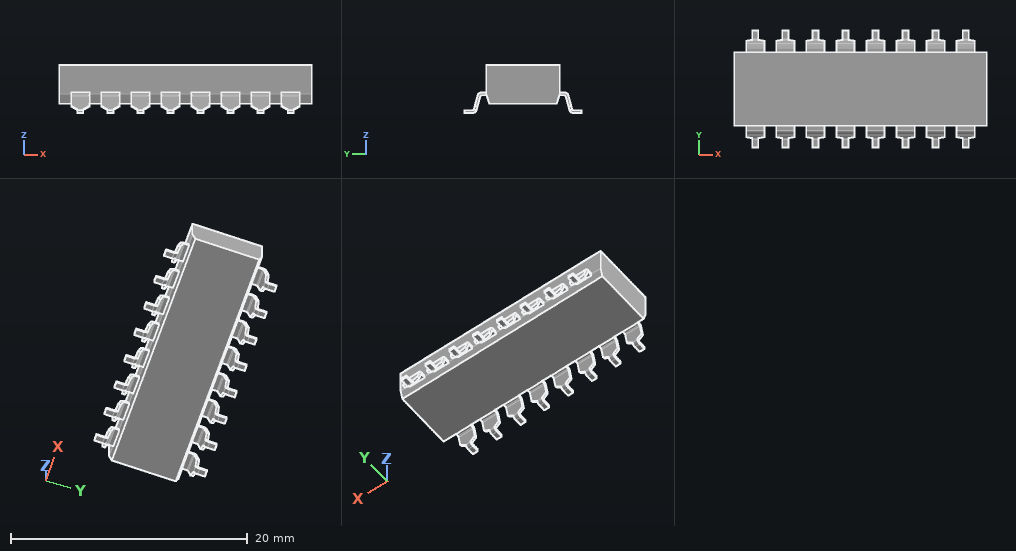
import cadquery as cq
import math

body_length = 21.32
body_width = 6.23
body_bottom_width = 5.71
body_bottom = 0.79
body_top = 4.07
taper_top = 1.65

leads_per_row = 8
lead_pitch = 2.54
lead_span = 9.9
lead_thickness = 0.25
lead_top = 1.75
lead_embed = 0.43
shoulder_reach = 0.66
leg_slant = math.radians(15.0)
shoulder_inner_radius = 0.1
foot_inner_radius = 0.1

lead_width = 1.55
foot_width = 0.53
neck_top = 0.58
neck_bottom = 0.28

def make_body():
    half_top = body_width / 2
    half_bottom = body_bottom_width / 2
    section = [
        (-half_bottom, body_bottom),
        (half_bottom, body_bottom),
        (half_top, taper_top),
        (half_top, body_top),
        (-half_top, body_top),
        (-half_top, taper_top),
    ]
    return cq.Workplane("YZ").polyline(section).close().extrude(body_length / 2, both=True)

def make_lead():
    """One lead of the +Y row, centred on X = 0."""
    shoulder_y = body_width / 2 + shoulder_reach
    outer_radius = shoulder_inner_radius + lead_thickness
    foot_radius = foot_inner_radius + lead_thickness

    leg_across = lead_thickness / math.cos(leg_slant)
    leg_drop = lead_top - lead_thickness
    foot_y = shoulder_y + leg_drop * math.tan(leg_slant)
    inner_shoulder_y = shoulder_y + lead_thickness * math.tan(leg_slant) - leg_across
    heel_y = shoulder_y + lead_top * math.tan(leg_slant) - leg_across
    shoulder_end = body_width / 2 - lead_embed
    section = [
        (shoulder_end, lead_top),
        (shoulder_y, lead_top),
        (foot_y, lead_thickness),
        (lead_span / 2, lead_thickness),
        (lead_span / 2, 0),
        (heel_y, 0),
        (inner_shoulder_y, leg_drop),
        (shoulder_end, leg_drop),
    ]
    strip = cq.Workplane("YZ").polyline(section).close().extrude(lead_width / 2, both=True)
    bends = [
        (shoulder_y, lead_top, outer_radius),
        (inner_shoulder_y, leg_drop, shoulder_inner_radius),
        (foot_y, lead_thickness, foot_inner_radius),
        (heel_y, 0, foot_radius),
    ]
    for y, z, radius in bends:
        corner = cq.selectors.NearestToPointSelector((0, y, z))
        strip = strip.edges("|X").edges(corner).fillet(radius)

    half_lead = lead_width / 2
    half_foot = foot_width / 2
    outline = [
        (-half_lead, lead_span),
        (-half_lead, neck_top),
        (-half_foot, neck_bottom),
        (-half_foot, -lead_span),
        (half_foot, -lead_span),
        (half_foot, neck_bottom),
        (half_lead, neck_top),
        (half_lead, lead_span),
    ]
    leg_plane = cq.Plane(
        origin=(0, heel_y, 0),
        xDir=(1, 0, 0),
        normal=(0, -math.cos(leg_slant), -math.sin(leg_slant)),
    )
    blank = cq.Workplane(leg_plane).polyline(outline).close().extrude(lead_span, both=True)
    return strip.intersect(blank)

result = make_body()
lead = make_lead()
for row_angle in (0, 180):
    row_lead = lead.rotate((0, 0, 0), (0, 0, 1), row_angle)
    for index in range(leads_per_row):
        lead_x = (index - (leads_per_row - 1) / 2) * lead_pitch
        result = result.union(row_lead.translate((lead_x, 0, 0)))